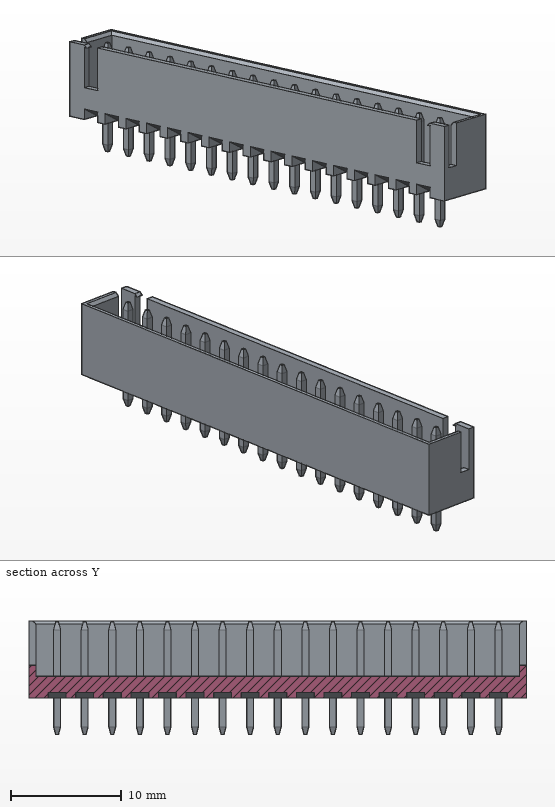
import cadquery as cq

PIN_COUNT = 17
PITCH = 2.5
END_MARGIN = 2.55
PIN_TO_BACK = 3.4
PIN_TO_FRONT = 2.3
HEIGHT = 7.0
WALL = 0.65

ROW_LENGTH = (PIN_COUNT - 1) * PITCH
LENGTH = ROW_LENGTH + 2 * END_MARGIN
HALF_LENGTH = LENGTH / 2
BACK = PIN_TO_BACK
FRONT = -PIN_TO_FRONT
PIN_X = [i * PITCH - ROW_LENGTH / 2 for i in range(PIN_COUNT)]

FLOOR_FRONT = 2.0
FLOOR_BACK = 1.2
STEP_TOP_Y = 0.6
STEP_BOTTOM_Y = 0.9
LEAD_IN = 0.3

SLOT_DEPTH = 4.0
SLOT_FLOOR = HEIGHT - SLOT_DEPTH
FRONT_SLOT_WIDTH = 1.6
END_SLOT_WIDTH = 1.0
LIP_REACH = 0.3
LIP_HEIGHT = 0.25

NOTCH_WIDTH = 1.6
NOTCH_HEIGHT = 1.0
NOTCH_DEPTH = 1.8

PIN_SIZE = 0.64
PIN_TIP_SIZE = 0.27
PIN_TAPER = 0.7
PIN_TOP = 6.9
PIN_BOTTOM = -3.3


def block(x_min, x_max, y_min, y_max, z_min, z_max):
    """Axis-aligned box given by its limits."""
    size = (x_max - x_min, y_max - y_min, z_max - z_min)
    return cq.Workplane("XY").box(*size, centered=False).translate((x_min, y_min, z_min))


def cavity():
    """Open-topped cavity with the stepped floor, the same section along X."""
    half = HALF_LENGTH - WALL
    section = [
        (FRONT + WALL, HEIGHT),
        (FRONT + WALL, FLOOR_FRONT),
        (STEP_TOP_Y, FLOOR_FRONT),
        (STEP_BOTTOM_Y, FLOOR_BACK),
        (BACK - WALL, FLOOR_BACK),
        (BACK - WALL, HEIGHT),
    ]
    return cq.Workplane("YZ").polyline(section).close().extrude(half, both=True)


def lead_in():
    """Tapered mouth that bevels the back and end walls but not the front wall."""
    section = [
        (HALF_LENGTH - WALL, HEIGHT - LEAD_IN),
        (HALF_LENGTH - WALL + LEAD_IN, HEIGHT),
        (-HALF_LENGTH + WALL - LEAD_IN, HEIGHT),
        (-HALF_LENGTH + WALL, HEIGHT - LEAD_IN),
    ]
    front_inner = FRONT + WALL
    back_outer = BACK - WALL + LEAD_IN
    mouth = cq.Workplane("XZ", origin=(0, back_outer, 0)).polyline(section).close()
    mouth = mouth.extrude(back_outer - front_inner)
    back_slope = [
        (BACK - WALL, HEIGHT - LEAD_IN),
        (back_outer, HEIGHT),
        (back_outer, HEIGHT - LEAD_IN),
    ]
    keep = cq.Workplane("YZ").polyline(back_slope).close().extrude(HALF_LENGTH, both=True)
    return mouth.cut(keep)


def front_slot(pin_x):
    """Slot through the front wall at an end pin."""
    half = FRONT_SLOT_WIDTH / 2
    return block(pin_x - half, pin_x + half, FRONT, FRONT + WALL, SLOT_FLOOR, HEIGHT)


def corner_lip(side):
    """Wedge on the corner tab overhanging the outer edge of the front slot; side is -1 or 1."""
    edge = ROW_LENGTH / 2 + FRONT_SLOT_WIDTH / 2
    section = [
        (side * edge, HEIGHT),
        (side * edge, HEIGHT - LIP_HEIGHT),
        (side * (edge - LIP_REACH), HEIGHT - LIP_HEIGHT),
    ]
    return cq.Workplane("XZ", origin=(0, FRONT + WALL, 0)).polyline(section).close().extrude(WALL)


def end_slots():
    """Slot through both end walls, touching the inside of the front wall."""
    y_min = FRONT + WALL
    return block(-HALF_LENGTH, HALF_LENGTH, y_min, y_min + END_SLOT_WIDTH, SLOT_FLOOR, HEIGHT)


def notch(pin_x):
    """Bevel cut off the lower front edge at one pin."""
    section = [(FRONT, 0), (FRONT + NOTCH_DEPTH, 0), (FRONT, NOTCH_HEIGHT)]
    bevel = cq.Workplane("YZ", origin=(pin_x, 0, 0)).polyline(section).close()
    return bevel.extrude(NOTCH_WIDTH / 2, both=True)


def pin_taper(base_z, height):
    """Tapered pin end; a negative height points it downwards."""
    base = cq.Workplane("XY", origin=(0, 0, base_z)).rect(PIN_SIZE, PIN_SIZE)
    tip = base.workplane(offset=height).rect(PIN_TIP_SIZE, PIN_TIP_SIZE)
    return tip.loft(ruled=True)


def pin(pin_x):
    """Square pin tapered to a blunt point at both ends."""
    half = PIN_SIZE / 2
    shaft_top = PIN_TOP - PIN_TAPER
    shaft_bottom = PIN_BOTTOM + PIN_TAPER
    shaft = block(-half, half, -half, half, shaft_bottom, shaft_top)
    tapered = shaft.union(pin_taper(shaft_top, PIN_TAPER)).union(pin_taper(shaft_bottom, -PIN_TAPER))
    return tapered.translate((pin_x, 0, 0))


housing = block(-HALF_LENGTH, HALF_LENGTH, FRONT, BACK, 0, HEIGHT)
housing = housing.cut(cavity()).cut(lead_in()).cut(end_slots())

for end_pin_x in (PIN_X[0], PIN_X[-1]):
    housing = housing.cut(front_slot(end_pin_x))
for side in (-1, 1):
    housing = housing.union(corner_lip(side))
for x in PIN_X:
    housing = housing.cut(notch(x))

result = housing
for x in PIN_X:
    result = result.union(pin(x))